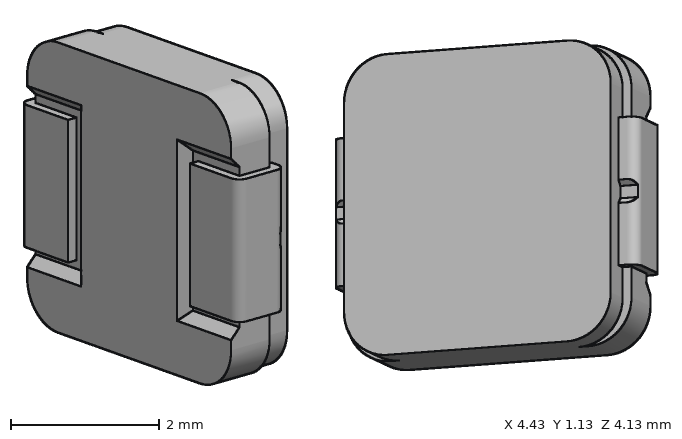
import cadquery as cq

overall_width = 4.43
overall_depth = 1.13
body_width = 4.13
body_height = 4.13
back_width = 3.87
step_y = 0.695
corner_radius = 0.63

recess_depth = 0.15
recess_height = 2.58
recess_inner_x = 0.97

terminal_height = 2.03
terminal_inner_x = 1.23
terminal_thickness = (overall_width - body_width) / 2
terminal_back_y = step_y + terminal_thickness
bend_radius = 0.15

notch_depth = 0.065
notch_mouth = 0.32
notch_floor = 0.17


def rounded_slab(width, front_y, back_y):
    """Slab with rounded corners in XZ, between two Y positions."""
    return (
        cq.Workplane("XY")
        .box(width, back_y - front_y, body_height)
        .edges("|Y")
        .fillet(corner_radius)
        .translate((0, (front_y + back_y) / 2, 0))
    )


def recess():
    """Cutter for the +X recess; it narrows with depth and is open at the side."""
    outer_x = overall_width
    half_mouth = recess_height / 2
    half_floor = half_mouth - recess_depth
    floor_x = recess_inner_x + recess_depth
    return (
        cq.Workplane("XZ")
        .polyline([
            (recess_inner_x, -half_mouth),
            (outer_x, -half_mouth),
            (outer_x, half_mouth),
            (recess_inner_x, half_mouth),
        ])
        .close()
        .workplane(offset=-recess_depth)
        .polyline([
            (floor_x, -half_floor),
            (outer_x, -half_floor),
            (outer_x, half_floor),
            (floor_x, half_floor),
        ])
        .close()
        .loft(ruled=True, combine=True)
    )


def terminal():
    """The +X terminal: front pad, side strap and lip over the body step."""
    outer_x = overall_width / 2
    side_x = body_width / 2
    lip_x = back_width / 2
    strap = (
        cq.Workplane("XY")
        .moveTo(terminal_inner_x, 0)
        .lineTo(outer_x - bend_radius, 0)
        .radiusArc((outer_x, bend_radius), -bend_radius)
        .lineTo(outer_x, terminal_back_y - bend_radius)
        .radiusArc((outer_x - bend_radius, terminal_back_y), -bend_radius)
        .lineTo(lip_x, terminal_back_y)
        .lineTo(lip_x, step_y)
        .lineTo(side_x, step_y)
        .lineTo(side_x, recess_depth)
        .lineTo(terminal_inner_x, recess_depth)
        .close()
        .extrude(terminal_height / 2, both=True)
    )
    notch_floor_y = terminal_back_y - notch_depth
    notch = (
        cq.Workplane("YZ", origin=(lip_x, 0, 0))
        .polyline([
            (terminal_back_y, -notch_mouth / 2),
            (notch_floor_y, -notch_floor / 2),
            (notch_floor_y, notch_floor / 2),
            (terminal_back_y, notch_mouth / 2),
        ])
        .close()
        .extrude(outer_x - lip_x)
    )
    return strap.cut(notch)


front_slab = rounded_slab(body_width, 0, step_y)
back_slab = rounded_slab(back_width, step_y, overall_depth)
result = front_slab.union(back_slab)

right_recess = recess()
right_terminal = terminal()
result = result.cut(right_recess).cut(right_recess.mirror("YZ"))
result = result.union(right_terminal).union(right_terminal.mirror("YZ"))